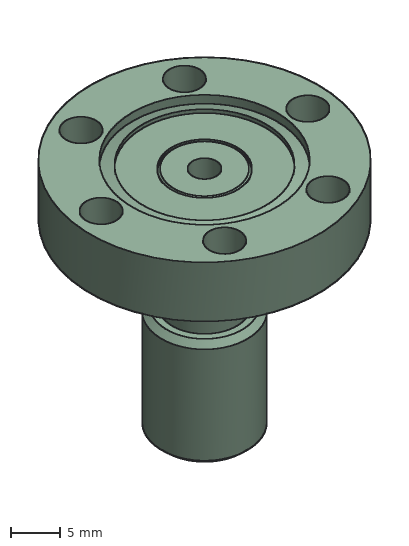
import cadquery as cq

flange_diameter = 33.78
flange_thickness = 7.62
bolt_hole_diameter = 4.39
bolt_circle_diameter = 26.92
bolt_count = 6
first_bolt_angle = 90.0
seal_recess_diameter = 21.39
seal_recess_depth = 1.14
knife_edge_diameter = 18.29
knife_edge_depth = 0.64
knife_floor_depth = 1.14
stem_hole_diameter = 9.65

tube_diameter = 9.53
tube_tip_chamfer = 0.25
boss_diameter = 12.70
boss_length = 15.88
boss_chamfer = 0.76
boss_bore_diameter = 3.17
tube_bore_diameter = 3.45

total_height = 34.62
flange_top = total_height
flange_bottom = flange_top - flange_thickness
recess_bottom = flange_top - seal_recess_depth
knife_edge_tip = flange_top - knife_edge_depth
knife_floor = flange_top - knife_floor_depth
tube_top = knife_floor


def revolve_profile(profile):
    """Turn a closed radius-height profile around the Z axis."""
    return profile.close().revolve(360, (0, 0, 0), (0, 1, 0))


def make_flange():
    """Plate whose recess holds a ramp that rises inward to the knife edge."""
    profile = (
        cq.Workplane("XZ")
        .moveTo(stem_hole_diameter / 2, flange_bottom)
        .lineTo(flange_diameter / 2, flange_bottom)
        .lineTo(flange_diameter / 2, flange_top)
        .lineTo(seal_recess_diameter / 2, flange_top)
        .lineTo(seal_recess_diameter / 2, recess_bottom)
        .lineTo(knife_edge_diameter / 2, knife_edge_tip)
        .lineTo(knife_edge_diameter / 2, knife_floor)
        .lineTo(stem_hole_diameter / 2, knife_floor)
    )
    bolt_holes = (
        cq.Workplane("XY", origin=(0, 0, flange_bottom))
        .polarArray(bolt_circle_diameter / 2, first_bolt_angle, 360, bolt_count)
        .circle(bolt_hole_diameter / 2)
        .extrude(flange_thickness)
    )
    return revolve_profile(profile).cut(bolt_holes)


def make_stem():
    """Tube and thicker end in one piece, bored right through, wider in the tube."""
    boss = (
        cq.Workplane("XY")
        .circle(boss_diameter / 2)
        .extrude(boss_length)
        .faces("<Z or >Z")
        .chamfer(boss_chamfer)
    )
    tube = (
        cq.Workplane("XY", origin=(0, 0, boss_length))
        .circle(tube_diameter / 2)
        .extrude(tube_top - boss_length)
        .faces(">Z")
        .chamfer(tube_tip_chamfer)
    )
    boss_bore = cq.Workplane("XY").circle(boss_bore_diameter / 2).extrude(boss_length)
    tube_bore = (
        cq.Workplane("XY", origin=(0, 0, boss_length))
        .circle(tube_bore_diameter / 2)
        .extrude(tube_top - boss_length)
    )
    return boss.union(tube).cut(boss_bore).cut(tube_bore)


flange = make_flange()
stem = make_stem()

result = cq.Compound.makeCompound([flange.val(), stem.val()])